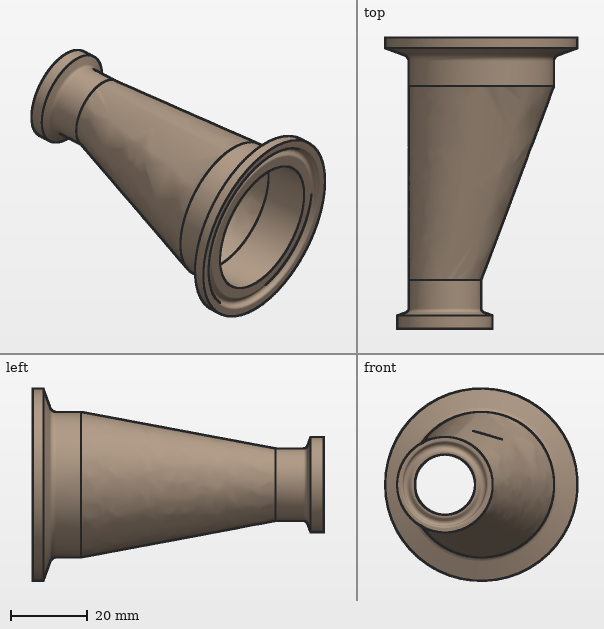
import cadquery as cq
import math

LENGTH = 76.2
FERRULE_LENGTH = 12.7
WALL = 1.7
FLANGE_ANGLE = math.radians(20)

LARGE_TUBE_RADIUS = 19.05
LARGE_FLANGE_RADIUS = 25.185
LARGE_RIM = 2.8
LARGE_FILLET = 1.6
LARGE_GROOVE_RADIUS = 21.7

SMALL_TUBE_RADIUS = 9.5
SMALL_FLANGE_RADIUS = 12.5
SMALL_RIM = 3.5
SMALL_FILLET = 1.0
SMALL_GROOVE_RADIUS = 10.0

SMALL_AXIS_X = SMALL_TUBE_RADIUS - LARGE_TUBE_RADIUS

GROOVE_OUTER_EDGE = 1.5
GROOVE_BOTTOM_OUTER = 0.9
GROOVE_BOTTOM_INNER = 0.5
GROOVE_SLOPE_END = 1.03
GROOVE_INNER_EDGE = 1.5
GROOVE_WALL_ANGLE = math.radians(85)


def make_face_cutter(groove_radius):
    """Turned cutter for the gasket groove and recessed land of a sealing face at y = 0."""

    def on_arc(center_r, center_y, radius, angle):
        """Point on an arc, with the angle measured from +Y toward the outside."""
        return (center_r + radius * math.sin(angle), center_y + radius * math.cos(angle))

    lip_radius = (GROOVE_OUTER_EDGE - GROOVE_BOTTOM_OUTER) / math.sin(GROOVE_WALL_ANGLE)
    lip_depth = lip_radius * (1 - math.cos(GROOVE_WALL_ANGLE))
    lip_center = (groove_radius + GROOVE_OUTER_EDGE, lip_radius)
    lip_mid = on_arc(*lip_center, lip_radius, math.pi + GROOVE_WALL_ANGLE / 2)

    bottom_radius = GROOVE_BOTTOM_OUTER / math.sin(GROOVE_WALL_ANGLE)
    bottom_center_y = lip_depth - bottom_radius * math.cos(GROOVE_WALL_ANGLE)
    slope_angle = math.asin(GROOVE_BOTTOM_INNER / bottom_radius)
    slope_start = on_arc(groove_radius, bottom_center_y, bottom_radius, -slope_angle)

    slope_end = (
        groove_radius - GROOVE_SLOPE_END,
        slope_start[1] - (GROOVE_SLOPE_END - GROOVE_BOTTOM_INNER) * math.tan(slope_angle),
    )
    inner_lip_radius = (GROOVE_INNER_EDGE - GROOVE_SLOPE_END) / math.sin(slope_angle)
    land_depth = slope_end[1] - inner_lip_radius * (1 - math.cos(slope_angle))
    land_edge = (groove_radius - GROOVE_INNER_EDGE, land_depth)
    inner_lip_mid = on_arc(
        land_edge[0], land_depth + inner_lip_radius, inner_lip_radius, math.pi - slope_angle / 2
    )

    return (
        cq.Workplane("XY")
        .moveTo(0, 0)
        .lineTo(groove_radius + GROOVE_OUTER_EDGE, 0)
        .threePointArc(lip_mid, (groove_radius + GROOVE_BOTTOM_OUTER, lip_depth))
        .threePointArc((groove_radius, bottom_center_y + bottom_radius), slope_start)
        .lineTo(*slope_end)
        .threePointArc(inner_lip_mid, land_edge)
        .lineTo(0, land_depth)
        .close()
        .revolve(360, (0, 0, 0), (0, 1, 0))
    )


def make_ferrule(tube_radius, flange_radius, rim, fillet, groove_radius):
    """Clamp ferrule on the Y axis, with its sealing face at y = 0 and its tube toward +Y."""
    bore_radius = tube_radius - WALL

    slope_end_radius = tube_radius + fillet * (1 - math.sin(FLANGE_ANGLE))
    slope_end_y = rim + (flange_radius - slope_end_radius) * math.tan(FLANGE_ANGLE)
    fillet_end_y = slope_end_y + fillet * math.cos(FLANGE_ANGLE)
    mid_angle = (math.pi / 2 - FLANGE_ANGLE) / 2
    fillet_mid = (
        tube_radius + fillet * (1 - math.cos(mid_angle)),
        fillet_end_y - fillet * math.sin(mid_angle),
    )

    body = (
        cq.Workplane("XY")
        .moveTo(bore_radius, 0)
        .lineTo(flange_radius, 0)
        .lineTo(flange_radius, rim)
        .lineTo(slope_end_radius, slope_end_y)
        .threePointArc(fillet_mid, (tube_radius, fillet_end_y))
        .lineTo(tube_radius, FERRULE_LENGTH)
        .lineTo(bore_radius, FERRULE_LENGTH)
        .close()
        .revolve(360, (0, 0, 0), (0, 1, 0))
    )
    return body.cut(make_face_cutter(groove_radius)).solids()


def make_eccentric_cone(inset):
    """Slanted cone between the two ferrules, inset from the tube outer radii."""
    direction = cq.Vector(0, 1, 0)
    small_end = cq.Wire.makeCircle(
        SMALL_TUBE_RADIUS - inset, cq.Vector(SMALL_AXIS_X, FERRULE_LENGTH, 0), direction
    )
    large_end = cq.Wire.makeCircle(
        LARGE_TUBE_RADIUS - inset, cq.Vector(0, LENGTH - FERRULE_LENGTH, 0), direction
    )
    return cq.Workplane("XY").newObject([cq.Solid.makeLoft([small_end, large_end], True)])


small_ferrule = make_ferrule(
    SMALL_TUBE_RADIUS, SMALL_FLANGE_RADIUS, SMALL_RIM, SMALL_FILLET, SMALL_GROOVE_RADIUS
).translate((SMALL_AXIS_X, 0, 0))

large_ferrule = (
    make_ferrule(
        LARGE_TUBE_RADIUS, LARGE_FLANGE_RADIUS, LARGE_RIM, LARGE_FILLET, LARGE_GROOVE_RADIUS
    )
    .rotate((0, 0, 0), (0, 0, 1), 180)
    .translate((0, LENGTH, 0))
)

reducer = make_eccentric_cone(0).cut(make_eccentric_cone(WALL)).solids()

result = cq.Compound.makeCompound([small_ferrule.val(), large_ferrule.val(), reducer.val()])